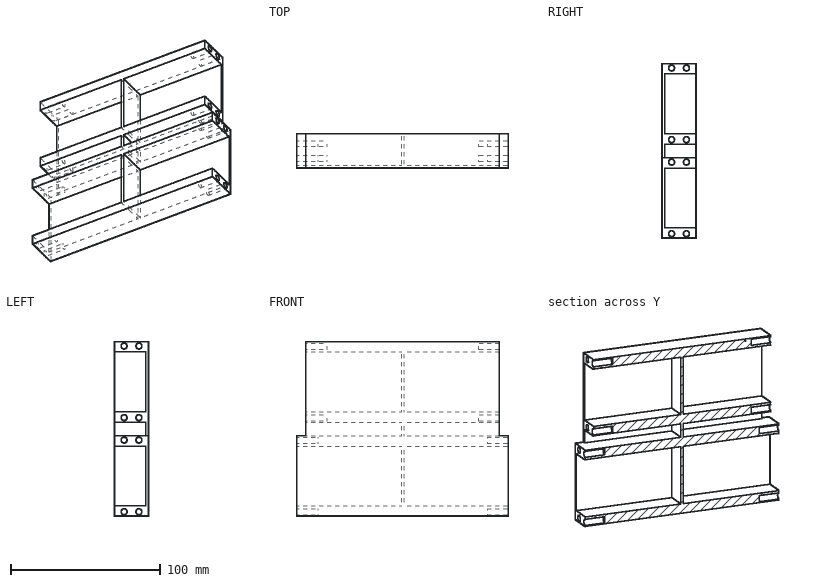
import cadquery as cq

lower_length = 142.0
upper_length = 130.0
total_height = 117.0
total_depth = 23.0
plate_thickness = 2.0

pair_height = 54.0
rail_height = 7.0

hole_diameter = 4.0
hole_spacing = 10.0
hole_edge_distance = 3.0
hole_depth = 14.2


def box(length, depth, height, bottom):
    """Box centred on X, with its front face on Y = 0."""
    return cq.Workplane("XY", origin=(0, 0, bottom)).box(length, depth, height, centered=(True, False, False))


def rail(length, bottom, hole_height):
    """Full-depth rail with two blind screw holes in each end."""
    body = box(length, total_depth, rail_height, bottom)
    for y in hole_positions:
        for side in (-1, 1):
            start = cq.Vector(side * length / 2, y, hole_height)
            inward = cq.Vector(-side, 0, 0)
            hole = cq.Solid.makeCylinder(hole_diameter / 2, hole_depth, start, inward)
            body = body.cut(cq.Workplane(hole))
    return body


def rail_pair(length, bottom):
    """Two rails whose holes lie towards the outer faces of the pair."""
    top = bottom + pair_height
    low_rail = rail(length, bottom, bottom + hole_edge_distance)
    high_rail = rail(length, top - rail_height, top - hole_edge_distance)
    return low_rail.union(high_rail)


hole_positions = [total_depth / 2 + side * hole_spacing / 2 for side in (-1, 1)]
upper_bottom = total_height - pair_height

lower_plate = box(lower_length, plate_thickness, pair_height, 0)
upper_plate = box(upper_length, plate_thickness, upper_bottom, pair_height)
lower_rails = rail_pair(lower_length, 0)
upper_rails = rail_pair(upper_length, upper_bottom)

divider = box(plate_thickness, total_depth, total_height, 0)

result = lower_plate.union(upper_plate).union(lower_rails).union(upper_rails).union(divider)